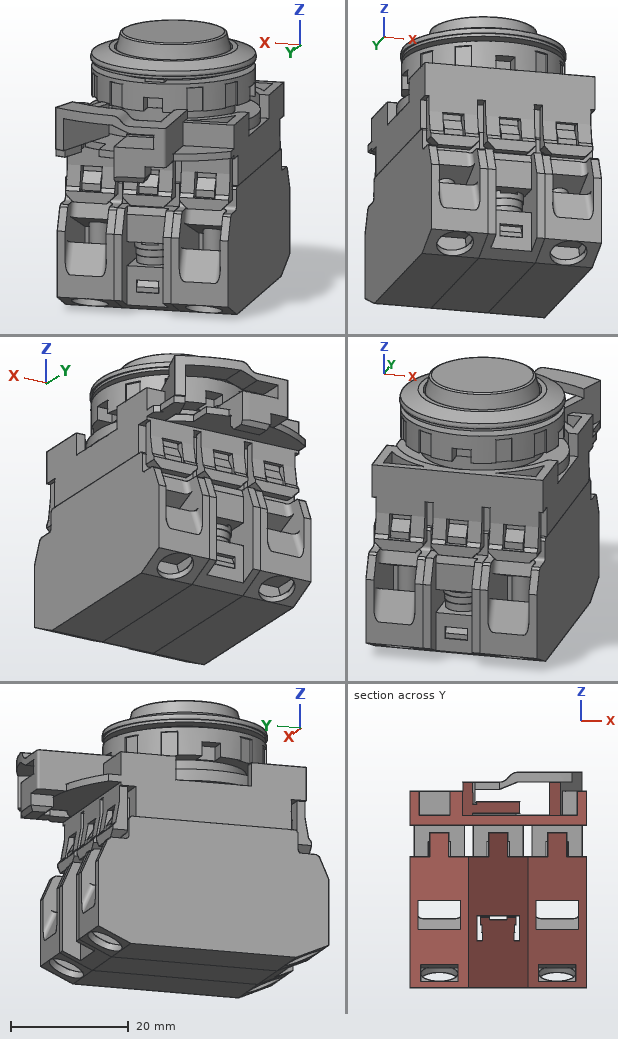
import cadquery as cq
import math

BLOCK_COUNT = 3
BODY_WIDTH = 30.0
BLOCK_WIDTH = BODY_WIDTH / BLOCK_COUNT
HALF_WIDTH = BODY_WIDTH / 2
BLOCK_CENTERS = [(i - (BLOCK_COUNT - 1) / 2) * BLOCK_WIDTH for i in range(BLOCK_COUNT)]
REACH = 49.2
CLEARANCE = 0.5
PICK_MARGIN = 0.05

BLOCK_TOP = 22.3
SHOULDER_TOP = 18.3
SHOULDER_SLOPE_END = 14.1
FOOT_SLOPE_TOP = 2.6
NECK_DEPTH = 15.2
SHOULDER_DEPTH = 18.85
BLOCK_DEPTH = 20.7
FOOT_DEPTH = 14.85
INNER_CORNER_FILLET = 0.65
SHOULDER_CHAMFER = 0.4
TOP_CHAMFER = 0.45

ENTRY_WIDTH = 7.2
ENTRY_FILLET = 1.0
ENTRY_TOP = 19.0
LIP_DEPTH = 16.4
LIP_HEIGHT = 15.6
SILL_DEPTH = 18.3
SILL_HEIGHT = 11.75
SILL_SLOPE = 0.45
CLAMP_BACK = 7.55
CLAMP_BACK_TOP = 12.05
ENTRY_BOTTOM = 6.6
POST_RADIUS = 1.75
POST_DEPTH = 11.3
SCREW_HOLE_RADIUS = 3.15
SCREW_HOLE_DEPTH = 1.25
CHAMBER_FRONT = 17.7
CHAMBER_BACK = 14.15
CHAMBER_TOP = 3.95
CHAMBER_LEAN = 1.25

CHANNEL_WIDTH = 7.2
CHANNEL_DEPTH = 17.45
CHANNEL_BEVEL_DEPTH = 17.0
CHANNEL_BEVEL_BOTTOM = 16.95
SCREW_WINDOW = (8.0, 12.2)
SCREW_WINDOW_DEPTH = 7.85
SCREW_RADIUS = 3.1
SCREW_FOOT_RADIUS = 2.95
SCREW_HEAD_RADIUS = 3.3
SCREW_LEVELS = (9.4, 10.7, 12.0)
DRIVER_SLOT_WIDTH = 2.95
DRIVER_SLOT_BOTTOM = 11.55
SCREW_INSET = 4.45
SLOT_WIDTH = 3.95
SLOT_LEVELS = (3.5, 4.4, 5.6)
SLOT_DEPTH = 1.0
SLOT_STEP = 0.25

HOOK_WIDTH = 3.25
HOOK_TOP = 26.3
HOOK_ROOT = 13.95
HOOK_BOTTOM = 20.6
HOOK_SLOPE = (21.85, 23.75)
HOOK_FACE = 15.85
HOOK_TIP = 17.0

ADAPTER_TOP = 33.4
ADAPTER_SHELF = 27.55
ADAPTER_DEPTH = 16.7
RING_SEAT = 29.3
SEAT_RADIUS = 14.9
SIDE_WINDOW_WIDTH = 13.55
FLANGE_RADIUS = 24.1
FLANGE_BOTTOM = 28.1
FLANGE_NOTCH_START = 7.05
FLANGE_NOTCH_END = 11.3
FLANGE_NOTCH_RADIUS = 20.0
CORNER_POCKET_RADIUS = 16.5
CORNER_POCKET_X = 13.4
CORNER_POCKET_Y = 15.2
CORNER_POCKET_DEPTH = 5.15

LEG_WIDTH = 8.55
LEG_BOTTOM = 18.65
LEG_FLARE_TOP = 24.8
LEG_SHELF = (20.55, 21.25)
LEG_SHELF_DEPTH = 17.3
LEG_TIP_DEPTH = 17.85
LEG_CHAMFER = 1.35
LEG_INNER_CHAMFER = (1.1, 1.0)
LEG_WINDOW_WIDTH = 3.75

RING_RADIUS = 14.75
RING_LEVELS = (29.6, 31.6)
LEVER_LEFT = -6.05
LEVER_ARM_END = -3.95
LEVER_FLOOR_END = 3.05
LEVER_FLOOR_TOP = 31.2
LEVER_FLOOR_STEP_Y = 19.98
LEVER_FLOOR_STEP = 0.3
LEVER_TOP = 34.95
LEVER_BAND_BOTTOM = 33.65
LEVER_BACK = 28.5
LEVER_RADIUS = 28.55
LEVER_CORNER_FILLET = 0.5
BAND_INNER_RADIUS = 23.5
ARCH_RISE = 1.65
ARCH_START = 0.2
ARCH_BEND_RADIUS = 1.8
ARCH_BEND_ANGLE = 47.5
RIB_OUTER = (14.15, 24.5)
RIB_ANGLE = 19.4
RIB_WIDTH = 1.8
LEVER_RIGHT = 14.2
LUG_LENGTH = 4.9
CATCH_X = (-2.45, 3.05)
CATCH_FRONT = 24.45
CATCH_LEVELS = (25.15, 26.1)
CATCH_CHAMFERS = (1.1, 0.5)
CATCH_SIDE_CHAMFER = 0.5

NECK_RADIUS = 10.5
COLLAR_RADIUS = 10.95
NUT_RADIUS = 13.9
NUT_BOTTOM = 34.25
NUT_TOP = 39.15
NUT_NOTCH_WIDTH = 3.35
NUT_NOTCH_HEIGHT = 2.4
NUT_GROOVE_WIDTH = 2.85
NUT_GROOVE_HEIGHT = 4.2
NUT_GROOVE_DEPTH = 0.45
NUT_STEPS = 12
NUT_NOTCHES = 4
KEY_WIDTH = 3.35
KEY_REACH = 12.65
KEY_HEIGHT = 0.5
BEZEL_BOTTOM = 40.05
BEZEL_BOTTOM_RADIUS = 13.8
BEZEL_RADIUS = 14.05
BEZEL_RIM = (40.55, 40.9)
BEZEL_SLOPE_BOTTOM = 41.45
BEZEL_SLOPE_RADIUS = 13.9
BEZEL_TOP = 42.5
BEZEL_TOP_RADIUS = 10.9

CAP_TOP = 45.1
CAP_RADIUS = 9.7
CAP_TOP_RADIUS = 9.05
CAP_FACE_RADIUS = 8.65
CAP_EDGE = 0.2
CAP_SEAT = 40.55
CAP_BORE_RADIUS = 10.05


def box_between(x0, x1, y0, y1, z0, z1):
    """Box between two opposite corners."""
    return cq.Workplane("XY").box(x1 - x0, y1 - y0, z1 - z0, centered=False).translate((x0, y0, z0))


def side_profile(points, width):
    """Closed (Y, Z) outline extruded symmetrically about X = 0."""
    return cq.Workplane("YZ").polyline(points).close().extrude(width / 2, both=True)


def disc(radius, bottom, top):
    return cq.Workplane("XY").workplane(offset=bottom).circle(radius).extrude(top - bottom)


def both_ends(shape):
    """The shape and its mirror image across the XZ plane."""
    return shape.union(shape.mirror("XZ"))


def block_body():
    half = [
        (FOOT_DEPTH, 0),
        (BLOCK_DEPTH, FOOT_SLOPE_TOP),
        (BLOCK_DEPTH, SHOULDER_SLOPE_END),
        (SHOULDER_DEPTH, SHOULDER_TOP),
        (NECK_DEPTH, SHOULDER_TOP),
        (NECK_DEPTH, BLOCK_TOP),
    ]
    outline = half + [(-y, z) for y, z in reversed(half)]
    return side_profile(outline, BLOCK_WIDTH)


def crosswise_edges(depth, height):
    """Picks the edges along X at this distance from the XZ plane and this level, at both ends."""
    ends = [
        cq.selectors.BoxSelector(
            (-REACH, y - PICK_MARGIN, height - PICK_MARGIN), (REACH, y + PICK_MARGIN, height + PICK_MARGIN)
        )
        for y in (-depth, depth)
    ]
    return ends[0] + ends[1]


def snap_hook():
    """Upright tab with a wedge that snaps into a leg window, at the -Y end."""
    tab_and_wedge = [
        (-HOOK_ROOT, BLOCK_TOP),
        (-HOOK_ROOT, HOOK_TOP),
        (-NECK_DEPTH, HOOK_TOP),
        (-NECK_DEPTH, LEG_FLARE_TOP),
        (-HOOK_FACE, LEG_FLARE_TOP),
        (-HOOK_FACE, HOOK_SLOPE[1]),
        (-HOOK_TIP, HOOK_SLOPE[0]),
        (-HOOK_TIP, HOOK_BOTTOM),
        (-NECK_DEPTH, HOOK_BOTTOM),
        (-NECK_DEPTH, BLOCK_TOP),
    ]
    return side_profile(tab_and_wedge, HOOK_WIDTH)


def wire_entry():
    """Funnel cut into the -Y end of an outer block, with the clamp post left standing."""
    outside = BLOCK_DEPTH + CLEARANCE
    slope_ratio = (SILL_HEIGHT - ENTRY_BOTTOM) / (BLOCK_DEPTH - SILL_DEPTH)
    outside_height = ENTRY_BOTTOM - slope_ratio * (outside - BLOCK_DEPTH)
    floor_back_height = SILL_HEIGHT - SILL_SLOPE * (SILL_DEPTH - CLAMP_BACK)
    outline = [
        (-NECK_DEPTH, ENTRY_TOP),
        (-LIP_DEPTH, LIP_HEIGHT),
        (-CLAMP_BACK, CLAMP_BACK_TOP),
        (-CLAMP_BACK, floor_back_height),
        (-SILL_DEPTH, SILL_HEIGHT),
        (-outside, outside_height),
        (-outside, ENTRY_TOP),
    ]
    funnel = side_profile(outline, ENTRY_WIDTH)
    lower_slope_middle = (-(SILL_DEPTH + outside) / 2, (SILL_HEIGHT + outside_height) / 2)
    upper_slope_middle = (-(NECK_DEPTH + LIP_DEPTH) / 2, (ENTRY_TOP + LIP_HEIGHT) / 2)
    for y, z in (lower_slope_middle, upper_slope_middle):
        slope_sides = cq.selectors.BoxSelector(
            (-REACH, y - PICK_MARGIN, z - PICK_MARGIN), (REACH, y + PICK_MARGIN, z + PICK_MARGIN)
        )
        funnel = funnel.edges("not |X").edges(slope_sides).fillet(ENTRY_FILLET)
    return funnel.cut(disc(POST_RADIUS, 0, REACH).translate((0, -POST_DEPTH, 0)))


def screw_hole():
    """Shallow round hole square to the foot slope at the -Y end."""
    run = BLOCK_DEPTH - FOOT_DEPTH
    middle = (0, -(BLOCK_DEPTH + FOOT_DEPTH) / 2, FOOT_SLOPE_TOP / 2)
    slope_plane = cq.Plane(origin=middle, xDir=(1, 0, 0), normal=(0, FOOT_SLOPE_TOP, run))
    hole = cq.Workplane(slope_plane).circle(SCREW_HOLE_RADIUS).extrude(SCREW_HOLE_DEPTH)
    return hole.union(screw_chamber())


def screw_chamber():
    """Space at the inner end of the screw hole, with a leaning back wall."""
    slope_run = BLOCK_DEPTH - FOOT_DEPTH
    slope_length = math.hypot(slope_run, FOOT_SLOPE_TOP)
    hole_rise = SCREW_HOLE_DEPTH * slope_length / slope_run

    def hole_end_height(depth):
        return FOOT_SLOPE_TOP * (depth - FOOT_DEPTH) / slope_run + hole_rise

    outline = [
        (-CHAMBER_FRONT, CHAMBER_TOP),
        (-BLOCK_DEPTH + SCREW_HOLE_DEPTH, hole_end_height(BLOCK_DEPTH - SCREW_HOLE_DEPTH)),
        (-CHAMBER_BACK, hole_end_height(CHAMBER_BACK)),
        (-CHAMBER_BACK + CHAMBER_LEAN, CHAMBER_TOP),
    ]
    return side_profile(outline, 2 * SCREW_HOLE_RADIUS)


def outer_block(center_x):
    block = block_body().edges(crosswise_edges(NECK_DEPTH, SHOULDER_TOP)).fillet(INNER_CORNER_FILLET)
    block = block.edges(crosswise_edges(SHOULDER_DEPTH, SHOULDER_TOP)).chamfer(SHOULDER_CHAMFER)
    block = block.edges(crosswise_edges(NECK_DEPTH, BLOCK_TOP)).chamfer(TOP_CHAMFER)
    block = block.cut(both_ends(wire_entry())).cut(both_ends(screw_hole()))
    return block.union(both_ends(snap_hook())).translate((center_x, 0, 0))


def channel():
    """Recess over the whole height of the -Y end of the middle block."""
    outside = BLOCK_DEPTH + CLEARANCE
    outline = [
        (-CHANNEL_BEVEL_DEPTH, SHOULDER_TOP),
        (-CHANNEL_DEPTH, CHANNEL_BEVEL_BOTTOM),
        (-CHANNEL_DEPTH, 0),
        (-outside, 0),
        (-outside, SHOULDER_TOP),
    ]
    return side_profile(outline, CHANNEL_WIDTH)


def screw_window():
    """Opening in the channel face around a standing screw."""
    low, high = SCREW_WINDOW
    half = CHANNEL_WIDTH / 2
    opening = box_between(-half, half, -CHANNEL_DEPTH, -CHANNEL_DEPTH + SCREW_WINDOW_DEPTH, low, high)
    collar_bottom, head_bottom, head_top = SCREW_LEVELS
    screw = disc(SCREW_FOOT_RADIUS, low, collar_bottom)
    screw = screw.union(disc(SCREW_RADIUS, collar_bottom, head_bottom))
    screw = screw.union(disc(SCREW_HEAD_RADIUS, head_bottom, head_top))
    half_slot = DRIVER_SLOT_WIDTH / 2
    screw = screw.cut(box_between(-half_slot, half_slot, -REACH, REACH, DRIVER_SLOT_BOTTOM, head_top))
    return opening.cut(screw.translate((0, -CHANNEL_DEPTH + SCREW_INSET, 0)))


def label_slot():
    """Small slot with a sloped sill in the channel face."""
    low, sill, high = SLOT_LEVELS
    outline = [
        (-CHANNEL_DEPTH, low),
        (-CHANNEL_DEPTH + SLOT_STEP, low),
        (-CHANNEL_DEPTH + SLOT_STEP, sill),
        (-CHANNEL_DEPTH + SLOT_DEPTH, high),
        (-CHANNEL_DEPTH, high),
    ]
    return side_profile(outline, SLOT_WIDTH)


def middle_block():
    block = block_body()
    for recess in (channel(), screw_window(), label_slot()):
        block = block.cut(both_ends(recess))
    return block.union(both_ends(snap_hook()))


def spring_leg():
    """One leg at the -Y end, with its window."""
    chamfer_run, chamfer_rise = LEG_INNER_CHAMFER
    outline = [
        (-NECK_DEPTH, ADAPTER_SHELF),
        (-ADAPTER_DEPTH, ADAPTER_SHELF),
        (-ADAPTER_DEPTH, LEG_FLARE_TOP),
        (-LEG_SHELF_DEPTH, LEG_SHELF[1]),
        (-LEG_TIP_DEPTH, LEG_SHELF[0]),
        (-LEG_TIP_DEPTH, LEG_BOTTOM),
        (-NECK_DEPTH - chamfer_run, LEG_BOTTOM),
        (-NECK_DEPTH, LEG_BOTTOM + chamfer_rise),
    ]
    leg = side_profile(outline, LEG_WIDTH)
    half = LEG_WIDTH / 2
    front_outline = [
        (-half, ADAPTER_SHELF),
        (-half, LEG_BOTTOM + LEG_CHAMFER),
        (-half + LEG_CHAMFER, LEG_BOTTOM),
        (half - LEG_CHAMFER, LEG_BOTTOM),
        (half, LEG_BOTTOM + LEG_CHAMFER),
        (half, ADAPTER_SHELF),
    ]
    leg = leg.intersect(cq.Workplane("XZ").polyline(front_outline).close().extrude(REACH))
    half_window = LEG_WINDOW_WIDTH / 2
    window = box_between(-half_window, half_window, -REACH, 0, HOOK_BOTTOM, LEG_FLARE_TOP)
    return leg.cut(window)


def corner_pockets():
    pockets = box_between(
        -CORNER_POCKET_X, CORNER_POCKET_X, -CORNER_POCKET_Y, CORNER_POCKET_Y,
        ADAPTER_TOP - CORNER_POCKET_DEPTH, ADAPTER_TOP,
    )
    return pockets.cut(disc(CORNER_POCKET_RADIUS, 0, REACH))


def flange():
    """Round plate behind the adapter on which the lever swings."""
    plate = disc(FLANGE_RADIUS, FLANGE_BOTTOM, RING_SEAT)
    plate = plate.intersect(box_between(-HALF_WIDTH, HALF_WIDTH, 0, REACH, 0, REACH))
    notch = box_between(FLANGE_NOTCH_START, FLANGE_NOTCH_END, 0, REACH, FLANGE_BOTTOM, RING_SEAT)
    plate = plate.cut(notch.cut(disc(FLANGE_NOTCH_RADIUS, 0, REACH)))
    return plate.union(flange_lug())


def flange_lug():
    """Corner of the flange that reaches out to the lever radius under the rib."""
    outline = [
        rib_point(0, RIB_WIDTH),
        rib_point(-LUG_LENGTH, RIB_WIDTH),
        rib_point(-LUG_LENGTH, 0),
        (LEVER_RIGHT, rib_point(-LUG_LENGTH, 0)[1]),
        (LEVER_RIGHT, RIB_OUTER[1]),
    ]
    lug = cq.Workplane("XY").workplane(offset=FLANGE_BOTTOM).polyline(outline).close()
    lug = lug.extrude(RING_SEAT - FLANGE_BOTTOM)
    return lug.intersect(disc(LEVER_RADIUS, 0, REACH))


def rib_point(along, across):
    """Point at a distance along the rib and across it from its outer face, measured from RIB_OUTER."""
    lean = math.radians(RIB_ANGLE)
    x = RIB_OUTER[0] + along * math.sin(lean) - across * math.cos(lean)
    y = RIB_OUTER[1] + along * math.cos(lean) + across * math.sin(lean)
    return x, y


def lever_gap():
    """Opening in the rear wall of the adapter between the lever arm and the rib."""
    outline = [(LEVER_LEFT, 0), rib_point(-BLOCK_DEPTH, 0), rib_point(0, 0), (LEVER_LEFT, RIB_OUTER[1])]
    return cq.Workplane("XY").workplane(offset=RING_SEAT).polyline(outline).close().extrude(REACH)


def make_adapter():
    adapter = box_between(-HALF_WIDTH, HALF_WIDTH, -ADAPTER_DEPTH, ADAPTER_DEPTH, ADAPTER_SHELF, ADAPTER_TOP)
    core = box_between(-HALF_WIDTH, HALF_WIDTH, -HOOK_ROOT, HOOK_ROOT, BLOCK_TOP, ADAPTER_SHELF)
    adapter = adapter.union(core)
    adapter = adapter.cut(corner_pockets()).cut(disc(SEAT_RADIUS, RING_SEAT, ADAPTER_TOP))
    half_window = SIDE_WINDOW_WIDTH / 2
    adapter = adapter.cut(box_between(-REACH, REACH, -half_window, half_window, RING_SEAT, ADAPTER_TOP))
    adapter = adapter.cut(lever_gap()).union(flange())
    for center_x in BLOCK_CENTERS:
        adapter = adapter.union(both_ends(spring_leg()).translate((center_x, 0, 0)))
    return adapter


def lever_envelope():
    """Everything the lever may fill: inside its outer radius, outside the ring seat."""
    shape = disc(LEVER_RADIUS, 0, REACH).intersect(box_between(0, LEVER_RIGHT, 0, LEVER_BACK, 0, REACH))
    shape = shape.union(box_between(LEVER_LEFT, ARCH_START, 0, LEVER_BACK, 0, REACH))
    shape = shape.cut(disc(SEAT_RADIUS, 0, REACH))
    return shape.edges("|Z").edges("<X").edges(">Y").fillet(LEVER_CORNER_FILLET)


def outside_flange(x0, x1, bottom, top):
    """Part of the space beyond the flange edge."""
    return box_between(x0, x1, 0, REACH, bottom, top).cut(disc(FLANGE_RADIUS, 0, REACH))


def lever_floor():
    floor = box_between(LEVER_LEFT, LEVER_FLOOR_END, 0, LEVER_BACK, RING_SEAT, LEVER_FLOOR_TOP)
    inner_top = LEVER_FLOOR_TOP + LEVER_FLOOR_STEP
    return floor.union(box_between(LEVER_LEFT, LEVER_FLOOR_END, 0, LEVER_FLOOR_STEP_Y, RING_SEAT, inner_top))


def lever_band():
    """Band around the back that rises in an S-curve to the arch."""
    bend = math.radians(ARCH_BEND_ANGLE)
    bend_run = ARCH_BEND_RADIUS * math.sin(bend)
    bend_rise = ARCH_BEND_RADIUS * (1 - math.cos(bend))
    ramp_rise = ARCH_RISE - 2 * bend_rise
    ramp_start = ARCH_START + bend_run
    ramp_end = ramp_start + ramp_rise / math.tan(bend)
    rise_end = ramp_end + bend_run
    arch_top = LEVER_TOP + ARCH_RISE
    band = (
        cq.Workplane("XZ")
        .moveTo(LEVER_LEFT, LEVER_TOP)
        .lineTo(ARCH_START, LEVER_TOP)
        .tangentArcPoint((ramp_start, LEVER_TOP + bend_rise), relative=False)
        .lineTo(ramp_end, arch_top - bend_rise)
        .tangentArcPoint((rise_end, arch_top), relative=False)
        .lineTo(REACH, arch_top)
        .lineTo(REACH, LEVER_TOP)
        .lineTo(rise_end, LEVER_TOP)
        .lineTo(ARCH_START, LEVER_BAND_BOTTOM)
        .lineTo(LEVER_LEFT, LEVER_BAND_BOTTOM)
        .close()
        .extrude(-REACH)
    )
    beyond_rib = [
        rib_point(-REACH, 0),
        rib_point(REACH, 0),
        rib_point(REACH, -REACH),
        rib_point(-REACH, -REACH),
    ]
    band = band.cut(cq.Workplane("XY").polyline(beyond_rib).close().extrude(REACH))
    straight_back = box_between(LEVER_LEFT, ARCH_START, BAND_INNER_RADIUS, REACH, 0, REACH)
    ring_space = box_between(ARCH_START, REACH, 0, REACH, 0, REACH).cut(disc(BAND_INNER_RADIUS, 0, REACH))
    return band.intersect(straight_back.union(ring_space))


def lever_rib():
    outline = [
        rib_point(-BLOCK_DEPTH, 0),
        rib_point(BLOCK_DEPTH, 0),
        rib_point(BLOCK_DEPTH, RIB_WIDTH),
        rib_point(-BLOCK_DEPTH, RIB_WIDTH),
    ]
    base = cq.Workplane("XY").workplane(offset=RING_SEAT).polyline(outline).close()
    return base.extrude(LEVER_TOP - RING_SEAT)


def lever_catch():
    """Chamfered grip hanging under the back of the lever."""
    bottom, chamfer_top = CATCH_LEVELS
    front_run, back_run = CATCH_CHAMFERS
    outline = [
        (CATCH_FRONT, LEVER_FLOOR_TOP),
        (CATCH_FRONT, chamfer_top),
        (CATCH_FRONT + front_run, bottom),
        (LEVER_BACK - back_run, bottom),
        (LEVER_BACK, chamfer_top),
        (LEVER_BACK, LEVER_FLOOR_TOP),
    ]
    width = CATCH_X[1] - CATCH_X[0]
    bar = side_profile(outline, width)
    half = width / 2
    end_outline = [
        (-half, LEVER_FLOOR_TOP),
        (-half, chamfer_top),
        (-half + CATCH_SIDE_CHAMFER, bottom),
        (half, bottom),
        (half, LEVER_FLOOR_TOP),
    ]
    bar = bar.intersect(cq.Workplane("XZ").polyline(end_outline).close().extrude(-REACH))
    return bar.translate((sum(CATCH_X) / 2, 0, 0))


def make_lever():
    arm = box_between(LEVER_LEFT, LEVER_ARM_END, 0, LEVER_BACK, RING_SEAT, LEVER_TOP)
    skirt = outside_flange(LEVER_LEFT, LEVER_FLOOR_END, FLANGE_BOTTOM, LEVER_FLOOR_TOP)
    lever = arm.union(lever_floor())
    for part in (skirt, lever_rib(), lever_band(), lever_catch()):
        lever = lever.union(part)
    lever = lever.intersect(lever_envelope())
    ring = disc(RING_RADIUS, *RING_LEVELS).cut(disc(NECK_RADIUS, 0, REACH))
    link = box_between(LEVER_LEFT, LEVER_FLOOR_END, NECK_RADIUS, SEAT_RADIUS, RING_LEVELS[0], LEVER_FLOOR_TOP)
    link = link.intersect(disc(SEAT_RADIUS, 0, REACH)).cut(disc(NECK_RADIUS, 0, REACH))
    return lever.union(ring).union(link)


def nut():
    wheel = disc(NUT_RADIUS, NUT_BOTTOM, NUT_TOP)
    outside = NUT_RADIUS + CLEARANCE
    half_notch = NUT_NOTCH_WIDTH / 2
    half_groove = NUT_GROOVE_WIDTH / 2
    notch = box_between(
        -half_notch, half_notch, COLLAR_RADIUS, outside, NUT_BOTTOM, NUT_BOTTOM + NUT_NOTCH_HEIGHT
    )
    groove_floor = NUT_RADIUS - NUT_GROOVE_DEPTH
    groove = box_between(
        -half_groove, half_groove, groove_floor, outside, NUT_BOTTOM, NUT_BOTTOM + NUT_GROOVE_HEIGHT
    )
    steps_per_notch = NUT_STEPS // NUT_NOTCHES
    for step in range(NUT_STEPS):
        tool = groove if step % steps_per_notch else notch
        wheel = wheel.cut(tool.rotate((0, 0, 0), (0, 0, 1), 360 / NUT_STEPS * step))
    return wheel


def bezel():
    outline = [
        (0, BEZEL_BOTTOM),
        (BEZEL_BOTTOM_RADIUS, BEZEL_BOTTOM),
        (BEZEL_BOTTOM_RADIUS, BEZEL_RIM[0]),
        (BEZEL_RADIUS, BEZEL_RIM[0]),
        (BEZEL_RADIUS, BEZEL_RIM[1]),
        (BEZEL_SLOPE_RADIUS, BEZEL_SLOPE_BOTTOM),
        (BEZEL_TOP_RADIUS, BEZEL_TOP),
        (0, BEZEL_TOP),
    ]
    return cq.Workplane("XZ").polyline(outline).close().revolve(360, (0, 0), (0, 1))


def make_operator():
    key = box_between(-KEY_WIDTH / 2, KEY_WIDTH / 2, 0, KEY_REACH, NUT_TOP, NUT_TOP + KEY_HEIGHT)
    operator = disc(NECK_RADIUS, RING_SEAT, NUT_BOTTOM)
    for part in (nut(), disc(COLLAR_RADIUS, NUT_TOP, BEZEL_BOTTOM), key, bezel()):
        operator = operator.union(part)
    return operator.cut(disc(CAP_BORE_RADIUS, CAP_SEAT, BEZEL_TOP))


def make_cap():
    outline = [
        (0, CAP_SEAT),
        (CAP_RADIUS, CAP_SEAT),
        (CAP_RADIUS, BEZEL_TOP),
        (CAP_TOP_RADIUS, CAP_TOP - CAP_EDGE),
        (CAP_FACE_RADIUS, CAP_TOP),
        (0, CAP_TOP),
    ]
    return cq.Workplane("XZ").polyline(outline).close().revolve(360, (0, 0), (0, 1))


outer_blocks = [outer_block(center_x) for center_x in (BLOCK_CENTERS[0], BLOCK_CENTERS[-1])]
center_block = middle_block()
adapter = make_adapter()
lever = make_lever()
operator = make_operator()
cap = make_cap()

bodies = [*outer_blocks, center_block, adapter, lever, operator, cap]
result = cq.Compound.makeCompound([body.solids().val() for body in bodies])